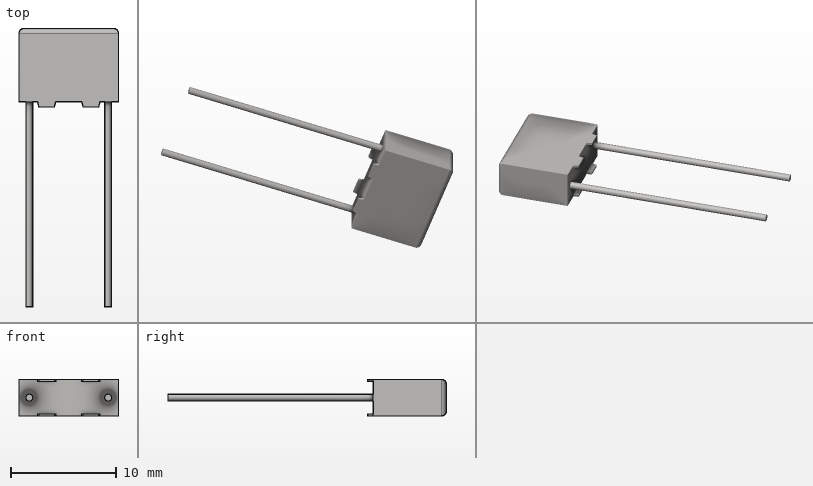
import cadquery as cq

total_length = 26.5
case_width = 9.5
case_height = 3.5
case_length = 7.0
rear_fillet = 0.5

tab_length = 0.5
tab_thickness = 0.2
tab_root_width = 1.75
tab_tip_width = 1.48
tab_spacing = 4.21

lead_diameter = 0.65
lead_pitch = 7.5
lead_length = total_length - case_length

case_top = case_height / 2


def make_tab(center_x, bottom_z):
    """Tapered tab that overhangs the lead face, with its underside at bottom_z."""
    return (
        cq.Workplane("XY", origin=(center_x, 0, bottom_z))
        .polyline([
            (-tab_root_width / 2, 0),
            (-tab_tip_width / 2, -tab_length),
            (tab_tip_width / 2, -tab_length),
            (tab_root_width / 2, 0),
        ])
        .close()
        .extrude(tab_thickness)
    )


def make_case():
    """Box with a rounded rear face and two tabs along each long edge of the lead face."""
    case = (
        cq.Workplane("XY")
        .box(case_width, case_length, case_height, centered=(True, False, True))
        .faces(">Y")
        .edges()
        .fillet(rear_fillet)
    )
    for center_x in (-tab_spacing / 2, tab_spacing / 2):
        for bottom_z in (-case_top, case_top - tab_thickness):
            case = case.union(make_tab(center_x, bottom_z))
    return case


def make_lead(center_x):
    """Straight round wire running from the lead face toward -Y."""
    return (
        cq.Workplane("XZ", origin=(center_x, 0, 0))
        .circle(lead_diameter / 2)
        .extrude(lead_length)
    )


case = make_case()
leads = [make_lead(center_x) for center_x in (-lead_pitch / 2, lead_pitch / 2)]

result = cq.Compound.makeCompound([case.val(), *[lead.val() for lead in leads]])